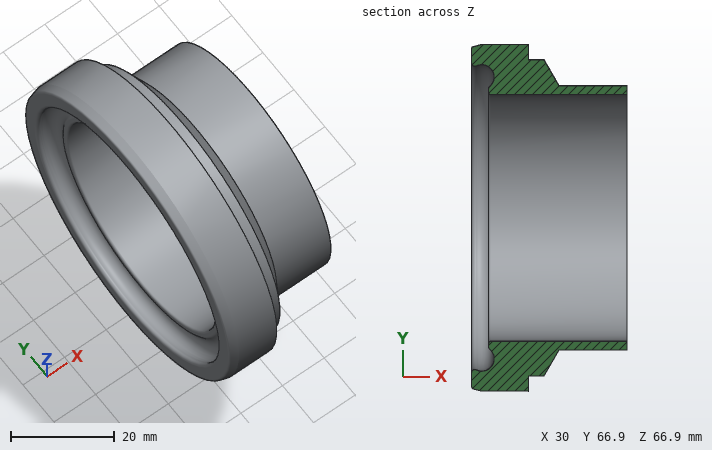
import cadquery as cq
import math

total_length = 30.0
flange_taper_length = 2.0
flange_length = 11.05
shoulder_end = 14.0
lip_depth = 3.3

flange_radius = 66.9 / 2
shoulder_radius = 61.0 / 2
pipe_radius = 51.0 / 2
bore_radius = 47.5 / 2

flange_taper_angle = math.radians(15)
shoulder_cone_angle = math.radians(60)

groove_arc_radius = 2.35
groove_center_radius = 27.15
groove_center_depth = 2.0

rim_fillet = 0.5
groove_mouth_fillet = 0.7
lip_outer_fillet = 0.7
lip_bore_fillet = 0.5

def revolve_about_x(profile):
    return profile.revolve(360, (0, 0, 0), (1, 0, 0))


def make_body():
    """Flange, shoulder and pipe end around a plain bore."""
    flange_face_radius = flange_radius - flange_taper_length * math.tan(flange_taper_angle)
    cone_length = (shoulder_radius - pipe_radius) / math.tan(shoulder_cone_angle)
    profile = (
        cq.Workplane("XY")
        .moveTo(0, bore_radius)
        .lineTo(0, flange_face_radius)
        .lineTo(flange_taper_length, flange_radius)
        .lineTo(flange_length, flange_radius)
        .lineTo(flange_length, shoulder_radius)
        .lineTo(shoulder_end, shoulder_radius)
        .lineTo(shoulder_end + cone_length, pipe_radius)
        .lineTo(total_length, pipe_radius)
        .lineTo(total_length, bore_radius)
        .close()
    )
    return revolve_about_x(profile)


def fillet_center(face_depth, fillet, side):
    """Center of the fillet joining a flat face to the groove arc; side is +1 outward, -1 inward."""
    depth = face_depth + fillet
    reach = math.sqrt((groove_arc_radius + fillet) ** 2 - (depth - groove_center_depth) ** 2)
    return depth, groove_center_radius + side * reach


def groove_tangent_point(center, fillet):
    """Point where a fillet of the given center meets the groove arc."""
    share = groove_arc_radius / (groove_arc_radius + fillet)
    depth = groove_center_depth + share * (center[0] - groove_center_depth)
    radius = groove_center_radius + share * (center[1] - groove_center_radius)
    return depth, radius


def make_groove():
    """Space taken by the seal groove and by the recess in front of the lip."""
    mouth_center = fillet_center(0, groove_mouth_fillet, 1)
    lip_center = fillet_center(lip_depth, lip_outer_fillet, -1)
    groove_bottom = (groove_center_depth + groove_arc_radius, groove_center_radius)
    profile = (
        cq.Workplane("XY")
        .moveTo(0, 0)
        .lineTo(0, mouth_center[1])
        .radiusArc(groove_tangent_point(mouth_center, groove_mouth_fillet), -groove_mouth_fillet)
        .threePointArc(groove_bottom, groove_tangent_point(lip_center, lip_outer_fillet))
        .radiusArc((lip_depth, lip_center[1]), -lip_outer_fillet)
        .lineTo(lip_depth, bore_radius + lip_bore_fillet)
        .radiusArc((lip_depth + lip_bore_fillet, bore_radius), -lip_bore_fillet)
        .lineTo(lip_depth + lip_bore_fillet, 0)
        .close()
    )
    return revolve_about_x(profile)


def round_flange_rim(body):
    """Fillet the outer edge of the seal face."""
    outermost = cq.selectors.RadiusNthSelector(-1)
    return body.faces("<X").edges(outermost).fillet(rim_fillet)


result = round_flange_rim(make_body()).cut(make_groove())